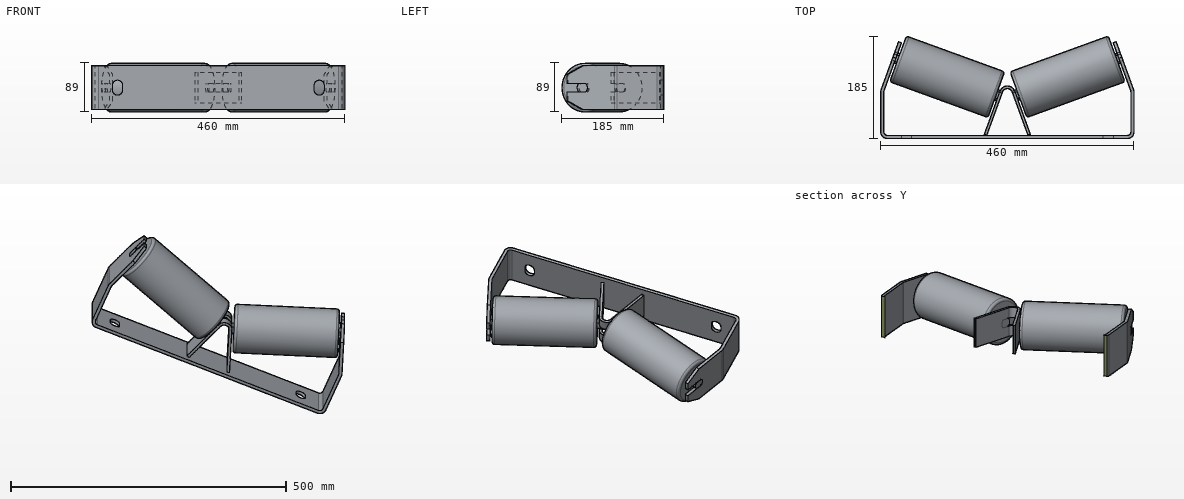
import cadquery as cq
import math

TILT = 20.0
SIN = math.sin(math.radians(TILT))
COS = math.cos(math.radians(TILT))

FRAME_WIDTH = 460.0
FRAME_HEIGHT = 80.0
FRAME_THICKNESS = 6.0
FRAME_BEND_RADIUS = 2 * FRAME_THICKNESS
WALL_END_Y = 85.0
CHEEK_LENGTH = 92.5
CHEEK_CHAMFER_Z = 16.0
CHEEK_CHAMFER_LENGTH = 30.0

MOUNT_SLOT_X = 183.0
MOUNT_SLOT_WIDTH = 18.5
MOUNT_SLOT_HEIGHT = 27.0

SUPPORT_HEIGHT = 55.0
SUPPORT_THICKNESS = 5.0
SUPPORT_BEND_RADIUS = 14.3
SUPPORT_TOP_Y = 95.5

ROLLER_DIAMETER = 89.0
ROLLER_LENGTH = 190.0
ROLLER_FILLET = 5.0
SHAFT_DIAMETER = 20.0
SHAFT_FLAT_WIDTH = 15.5
AXIS_OFFSET = 68.0

BEND_CENTRE_X = FRAME_BEND_RADIUS - FRAME_WIDTH / 2
CHEEK_START_X = BEND_CENTRE_X - FRAME_BEND_RADIUS * COS
CHEEK_START_Y = WALL_END_Y + FRAME_BEND_RADIUS * SIN

SUPPORT_CENTRE_Y = SUPPORT_TOP_Y - SUPPORT_BEND_RADIUS
LEG_TOP_X = -SUPPORT_BEND_RADIUS * COS
LEG_TOP_Y = SUPPORT_CENTRE_Y + SUPPORT_BEND_RADIUS * SIN
FOOT_Y = FRAME_THICKNESS + SUPPORT_THICKNESS * SIN
LEG_LENGTH = (LEG_TOP_Y - FOOT_Y) / COS
FOOT_X = LEG_TOP_X - LEG_LENGTH * SIN

CHEEK_OUTER = CHEEK_START_X * COS - CHEEK_START_Y * SIN
CHEEK_INNER = CHEEK_OUTER + FRAME_THICKNESS
LEG_OUTER = LEG_TOP_X * COS - LEG_TOP_Y * SIN
LEG_INNER = LEG_OUTER + SUPPORT_THICKNESS
ROLLER_START = (CHEEK_INNER + LEG_OUTER - ROLLER_LENGTH) / 2


def symmetric_extrude(outline, height):
    return outline.close().extrude(height / 2, both=True)


def mirrored_pair(left):
    """A left-hand part joined to its mirror image in the plane X = 0."""
    return left.union(left.mirror("YZ"), clean=False)


def sheet_strip(start, heading, length, thickness, height):
    """Flat strip whose left face runs from start in the heading direction (degrees from +X)."""
    plane = cq.Plane(origin=(*start, 0)).rotated((0, 0, heading))
    outline = cq.Workplane(plane).lineTo(length, 0).lineTo(length, -thickness).lineTo(0, -thickness)
    return symmetric_extrude(outline, height)


def sheet_bend(centre, outer_radius, first_angle, last_angle, thickness, height):
    """Ring sector between two polar angles (degrees) about centre."""

    def point(radius, angle):
        turn = math.radians(angle)
        return centre[0] + radius * math.cos(turn), centre[1] + radius * math.sin(turn)

    inner_radius = outer_radius - thickness
    middle_angle = (first_angle + last_angle) / 2
    outline = (
        cq.Workplane("XY")
        .moveTo(*point(outer_radius, first_angle))
        .threePointArc(point(outer_radius, middle_angle), point(outer_radius, last_angle))
        .lineTo(*point(inner_radius, last_angle))
        .threePointArc(point(inner_radius, middle_angle), point(inner_radius, first_angle))
    )
    return symmetric_extrude(outline, height)


def axis_workplane(position):
    """Workplane across the left roller axis; its local x points up along the cheek and the leg."""
    origin = (position * COS + AXIS_OFFSET * SIN, AXIS_OFFSET * COS - position * SIN, 0)
    return cq.Workplane(cq.Plane(origin=origin, xDir=(SIN, COS, 0), normal=(COS, -SIN, 0)))


def shaft_flats(start, end):
    """Slab between the two shaft flats."""
    return axis_workplane(start).rect(2 * FRAME_WIDTH, SHAFT_FLAT_WIDTH).extrude(end - start)


def shaft_slot(start, end, length):
    """Cutter for a slot that seats the shaft in its round end and runs up the sheet by length."""
    seat = axis_workplane(start).circle(SHAFT_DIAMETER / 2).extrude(end - start)
    entry = axis_workplane(start).center(length / 2, 0).rect(length, SHAFT_DIAMETER).extrude(end - start)
    return seat.union(entry).intersect(shaft_flats(start, end))


def make_cheek():
    cheek = sheet_strip(
        (CHEEK_START_X, CHEEK_START_Y), 90 - TILT, CHEEK_LENGTH, FRAME_THICKNESS, FRAME_HEIGHT
    )
    tip_corners = cheek.faces(cq.DirectionMinMaxSelector(cq.Vector(SIN, COS, 0))).edges("<Z or >Z")
    cheek = tip_corners.chamfer(CHEEK_CHAMFER_Z, CHEEK_CHAMFER_LENGTH)
    return cheek.cut(shaft_slot(CHEEK_OUTER, CHEEK_INNER, CHEEK_LENGTH))


def make_frame():
    sheet = (FRAME_THICKNESS, FRAME_HEIGHT)
    wall_start = (-FRAME_WIDTH / 2, FRAME_BEND_RADIUS)
    wall_length = WALL_END_Y - FRAME_BEND_RADIUS
    corner_centre = (BEND_CENTRE_X, FRAME_BEND_RADIUS)
    cheek_bend_centre = (BEND_CENTRE_X, WALL_END_Y)
    half = sheet_strip((0, 0), 180, -BEND_CENTRE_X, *sheet)
    half = half.union(sheet_bend(corner_centre, FRAME_BEND_RADIUS, 180, 270, *sheet), clean=False)
    half = half.union(sheet_strip(wall_start, 90, wall_length, *sheet), clean=False)
    half = half.union(sheet_bend(cheek_bend_centre, FRAME_BEND_RADIUS, 180 - TILT, 180, *sheet), clean=False)
    half = half.union(make_cheek(), clean=False)
    mount_slots = (
        cq.Workplane("XZ")
        .pushPoints([(-MOUNT_SLOT_X, 0), (MOUNT_SLOT_X, 0)])
        .slot2D(MOUNT_SLOT_HEIGHT, MOUNT_SLOT_WIDTH, 90)
        .extrude(-FRAME_THICKNESS)
    )
    return mirrored_pair(half).cut(mount_slots)


def make_support():
    sheet = (SUPPORT_THICKNESS, SUPPORT_HEIGHT)
    leg = sheet_strip((FOOT_X, FOOT_Y), 90 - TILT, LEG_LENGTH, *sheet)
    leg = leg.cut(shaft_slot(LEG_OUTER, LEG_INNER, LEG_LENGTH))
    crest = sheet_bend((0, SUPPORT_CENTRE_Y), SUPPORT_BEND_RADIUS, TILT, 180 - TILT, *sheet)
    crest_slot = cq.Workplane("XY").box(FRAME_WIDTH, 2 * SUPPORT_TOP_Y, SHAFT_FLAT_WIDTH)
    return mirrored_pair(leg).union(crest.cut(crest_slot), clean=False)


def make_left_roller():
    drum = axis_workplane(ROLLER_START).circle(ROLLER_DIAMETER / 2).extrude(ROLLER_LENGTH)
    drum = drum.edges("%CIRCLE").fillet(ROLLER_FILLET)
    shaft = axis_workplane(CHEEK_OUTER).circle(SHAFT_DIAMETER / 2).extrude(LEG_INNER - CHEEK_OUTER)
    return drum.union(shaft.intersect(shaft_flats(CHEEK_OUTER, LEG_INNER)))


def make_roller_carrier():
    """V support and both rollers as one solid, joined where the shafts seat in the leg slots."""
    carrier = make_support()
    left_roller = make_left_roller()
    for roller in (left_roller, left_roller.mirror("YZ")):
        carrier = carrier.union(roller, clean=False)
    return carrier


frame = make_frame()
roller_carrier = make_roller_carrier()

result = cq.Compound.makeCompound([*frame.solids().vals(), *roller_carrier.solids().vals()])